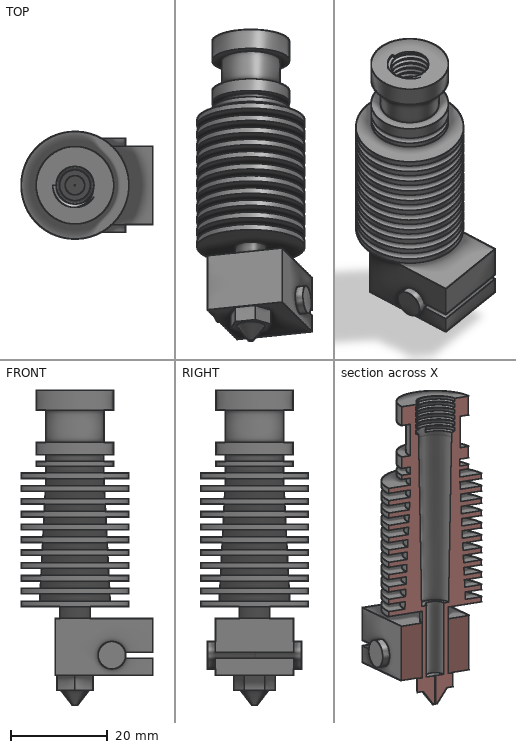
import cadquery as cq
import math


total_height = 65.06
nozzle_cone_height = 3.1
hex_height = 3.1
block_bottom = nozzle_cone_height + hex_height
block_height = 11.75
block_top = block_bottom + block_height

hex_across_flats = 7.5
hex_across_corners = hex_across_flats / math.cos(math.radians(30))
nozzle_cone_diameter = 5.8
nozzle_tip_diameter = 1.0
orifice_diameter = 0.1
orifice_length = nozzle_cone_height + hex_height

neck_diameter = 6.35
fin_diameter = 22.26
fin_thickness = 1.17
fin_pitch = 2.645
fin_count = 11
fins_bottom = 20.36
fins_top = fins_bottom + (fin_count - 1) * fin_pitch + fin_thickness
core_bottom_diameter = 14.7
core_top_diameter = 12.0

collar_diameter = 16.0
mount_neck_diameter = 12.1
collar_gap = 1.37
thin_collar_thickness = 1.0
thin_collar_bottom = fins_top + collar_gap
thin_collar_top = thin_collar_bottom + thin_collar_thickness
lower_collar_thickness = 2.55
lower_collar_bottom = thin_collar_top + collar_gap
lower_collar_top = lower_collar_bottom + lower_collar_thickness
upper_collar_thickness = 4.15
upper_collar_bottom = total_height - upper_collar_thickness

thread_minor_diameter = 7.78
thread_major_diameter = 9.17
thread_pitch = 1.27
thread_turns = 5.5
groove_mouth_width = 0.97 * thread_pitch
groove_root_width = 0.5 * thread_pitch
groove_overlap = 0.03
thread_depth = thread_turns * thread_pitch
taper_top = total_height - thread_depth - thread_pitch
taper_bottom = fins_bottom + fin_thickness
taper_bottom_diameter = 6.35
filament_bore_diameter = 4.0

block_left = -4.1
block_right = 16.1
block_width = 16.2
slot_height = 1.17

cartridge_diameter = 5.7
cartridge_length = 19.5
cartridge_x = 7.62
cartridge_z = 10.35


def disc(diameter, bottom, top):
    """Solid cylinder on the Z axis between two heights."""
    return cq.Workplane("XY").workplane(offset=bottom).circle(diameter / 2).extrude(top - bottom)


def cone(bottom_diameter, top_diameter, bottom, top):
    """Solid truncated cone on the Z axis between two heights."""
    return cq.Workplane(
        cq.Solid.makeCone(bottom_diameter / 2, top_diameter / 2, top - bottom, pnt=cq.Vector(0, 0, bottom))
    )


def cartridge_cylinder(length):
    """Cylinder on the cartridge axis, centred on Y = 0."""
    return (
        cq.Workplane("XZ", origin=(cartridge_x, 0, cartridge_z))
        .circle(cartridge_diameter / 2)
        .extrude(length / 2, both=True)
    )


def make_thread_groove():
    """Left-handed trapezoid groove whose centreline ends in the top face."""
    root_radius = thread_major_diameter / 2
    inner_radius = thread_minor_diameter / 2 - groove_overlap
    profile = (
        cq.Workplane("XZ")
        .moveTo(inner_radius, -groove_mouth_width / 2)
        .lineTo(root_radius, -groove_root_width / 2)
        .lineTo(root_radius, groove_root_width / 2)
        .lineTo(inner_radius, groove_mouth_width / 2)
        .close()
    )
    helix = cq.Wire.makeHelix(thread_pitch, thread_depth, root_radius, lefthand=True)
    groove = profile.sweep(cq.Workplane(helix), isFrenet=True)
    return groove.rotate((0, 0, 0), (0, 0, 1), 180).translate((0, 0, total_height - thread_depth))


def make_body():
    body = disc(neck_diameter, block_bottom, fins_bottom + fin_thickness)

    body = body.union(cone(core_bottom_diameter, core_top_diameter, fins_bottom, fins_top - fin_thickness))
    for index in range(fin_count):
        fin_bottom = fins_bottom + index * fin_pitch
        body = body.union(disc(fin_diameter, fin_bottom, fin_bottom + fin_thickness))

    body = body.union(disc(core_top_diameter, fins_top, lower_collar_bottom))
    body = body.union(disc(collar_diameter, thin_collar_bottom, thin_collar_top))
    body = body.union(disc(collar_diameter, lower_collar_bottom, lower_collar_top))
    body = body.union(disc(mount_neck_diameter, lower_collar_top, upper_collar_bottom))
    body = body.union(disc(collar_diameter, upper_collar_bottom, total_height))

    hexagon = (
        cq.Workplane("XY")
        .workplane(offset=nozzle_cone_height)
        .polygon(6, hex_across_corners)
        .extrude(hex_height)
        .rotate((0, 0, 0), (0, 0, 1), 90)
    )
    body = body.union(hexagon)
    body = body.union(cone(nozzle_tip_diameter, nozzle_cone_diameter, 0, nozzle_cone_height))

    body = body.cut(disc(thread_minor_diameter, taper_top, total_height))
    body = body.cut(cone(taper_bottom_diameter, thread_minor_diameter, taper_bottom, taper_top))
    body = body.cut(disc(filament_bore_diameter, orifice_length, taper_top))
    body = body.cut(disc(orifice_diameter, 0, orifice_length))
    body = body.cut(make_thread_groove())
    return body.rotate((0, 0, 0), (0, 0, 1), 180)


def make_block():
    block = cq.Workplane("XY").box(
        block_right - block_left, block_width, block_height, centered=(False, True, False)
    ).translate((block_left, 0, block_bottom))
    slot = cq.Workplane("XY").box(
        block_right - cartridge_x, block_width, slot_height, centered=(False, True, True)
    ).translate((cartridge_x, 0, cartridge_z))
    block = block.cut(slot).cut(cartridge_cylinder(block_width))
    return block.cut(disc(neck_diameter, block_bottom, block_top))


body = make_body()
block = make_block()
cartridge = cartridge_cylinder(cartridge_length)

result = cq.Compound.makeCompound([body.val(), block.val(), cartridge.val()])